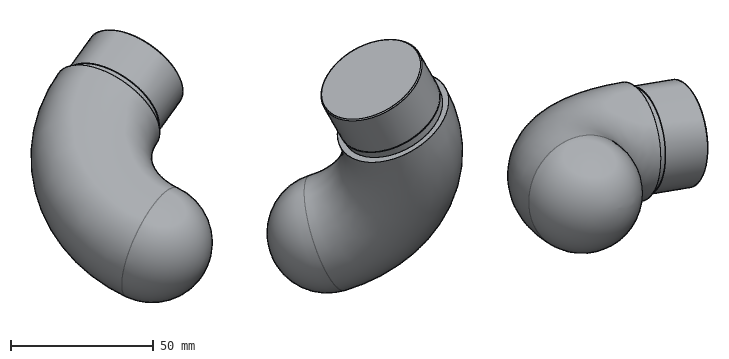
import cadquery as cq

tube_radius = 21.2
bend_radius = 42.8
spigot_length = 20.0
spigot_radius = 19.25
neck_length = 3.0
neck_radius = 18.9
end_chamfer = 0.4


def cylinder_along_y(radius, start, length):
    """Cylinder on the Y axis, running from start towards +Y."""
    return cq.Workplane("XZ", origin=(0, start, 0)).circle(radius).extrude(-length)


bend = (
    cq.Workplane("XZ")
    .circle(tube_radius)
    .revolve(90, (bend_radius, 0, 0), (bend_radius, 1, 0))
)

dome = (
    cq.Workplane("XY", origin=(bend_radius, -bend_radius, 0))
    .lineTo(tube_radius, 0)
    .radiusArc((0, tube_radius), -tube_radius)
    .close()
    .revolve(360, (0, 0, 0), (1, 0, 0))
)

neck = cylinder_along_y(neck_radius, 0, neck_length)
plug = cylinder_along_y(spigot_radius, neck_length, spigot_length - neck_length)
plug = plug.faces(">Y").chamfer(end_chamfer)

result = bend.union(dome).union(neck).union(plug)